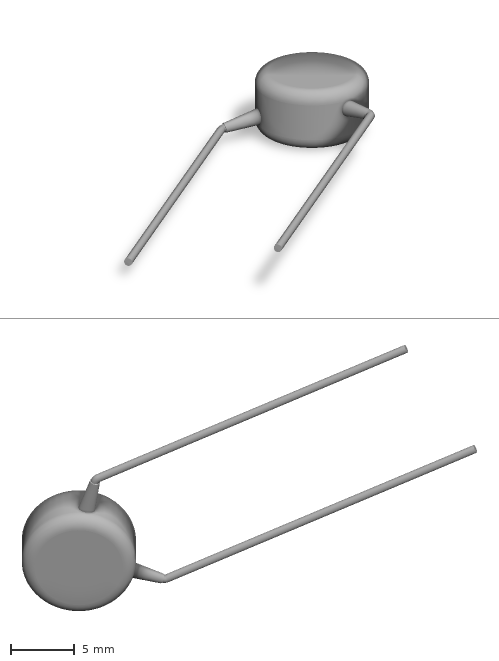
import math

import cadquery as cq

disc_diameter = 9.0
disc_height = 5.0
disc_fillet = 1.0

overall_length = 36.25
overall_width = 12.85
wire_diameter = 0.65
wire_height_offset = 1.3
bend_start = 4.75
bend_radius = 0.5
bend_angle = 51.5
bend_tilt = 12.0

collar_tip_diameter = 0.8
collar_root_diameter = 1.45
collar_length = 3.8

wire_radius = wire_diameter / 2
wire_x = overall_width / 2 - wire_radius
wire_length = overall_length - disc_diameter / 2 - bend_start

turn = math.radians(bend_angle)
collar_direction = cq.Vector(math.sin(turn), math.cos(turn), 0)
collar_tip = cq.Vector(bend_radius * (1 - math.cos(turn)), bend_radius * math.sin(turn), 0)


def place_left(shape):
    """Tilt a shape about its wire axis and move it to the left (-X), lower side of the disc."""
    tilted = shape.rotate((0, 0, 0), (0, 1, 0), -bend_tilt)
    return tilted.translate((-wire_x, -bend_start, -wire_height_offset))


def both_sides(left):
    """Return a left-hand shape and its copy turned half a revolution about Y."""
    return [left.rotate((0, 0, 0), (0, 1, 0), angle) for angle in (0, 180)]


def make_collar():
    cone = cq.Solid.makeCone(
        collar_tip_diameter / 2, collar_root_diameter / 2, collar_length, collar_tip, collar_direction
    )
    return place_left(cq.Workplane(cone))


def make_coating():
    """Rounded disc with the two collars that reach out to the wires."""
    coating = (
        cq.Workplane("XY")
        .circle(disc_diameter / 2)
        .extrude(disc_height)
        .translate((0, 0, -disc_height / 2))
        .faces("|Z")
        .edges()
        .fillet(disc_fillet)
    )
    for collar in both_sides(make_collar()):
        coating = coating.union(collar)
    return coating


def make_wire():
    """Straight wire with a short bend that ends on the tip of the collar."""
    straight = cq.Workplane("XZ").circle(wire_radius).extrude(wire_length)
    bend = (
        cq.Workplane("XZ")
        .circle(wire_radius)
        .revolve(bend_angle, (bend_radius, 0.35), (bend_radius, 0))
    )
    return place_left(straight.union(bend))


coating = make_coating()
wires = both_sides(make_wire())

result = cq.Compound.makeCompound([coating.val(), *[wire.val() for wire in wires]])